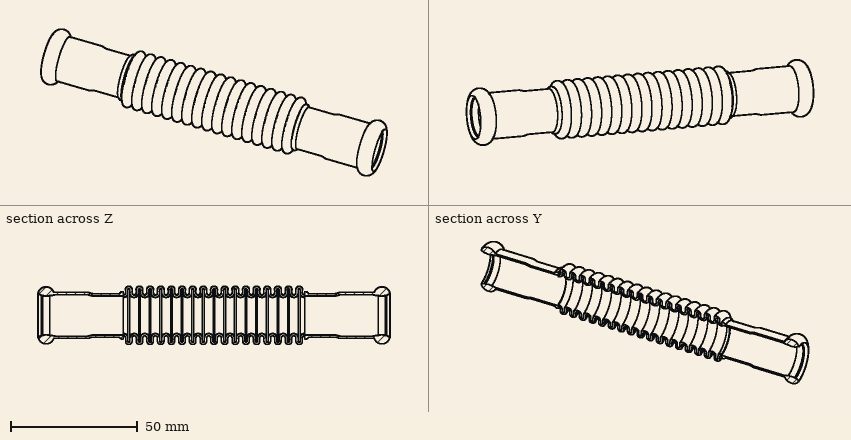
import cadquery as cq
import math

length = 139.0

bead_diameter = 22.7
bead_width = 6.5
mouth_diameter = 17.2

lip_diameter = 15.7
ring_diameter = 15.2
front_lip_start = 1.4
ring_start = 2.0
ring_end = 4.7
back_lip_end = 5.5
seal_end = 6.8

socket_diameter = 18.3
socket_bore = 16.3
neck_diameter = 17.2
neck_bore = 15.3
socket_end = 19.7
step_end = 21.7
neck_end = 32.1

collar_diameter = 18.9
collar_edge_diameter = 18.3
collar_cone_end = 32.7

crest_count = 17
bellows_length = 71.5
crest_diameter = 23.1
crest_radius = 1.4
root_diameter = 16.3
bellows_wall = 1.04

bead_radius = bead_width / 2
crest_pitch = bellows_length / crest_count
bellows_start = (length - bellows_length) / 2


def revolve_about_x(profile):
    return profile.close().revolve(360, (0, 0), (1, 0))


def end_fitting():
    """End fitting from the left mouth to the start of the bellows."""
    bead_center_r = bead_diameter / 2 - bead_radius
    bead_center_x = math.sqrt(bead_radius**2 - (mouth_diameter / 2 - bead_center_r) ** 2)
    bead_end = bead_center_x + math.sqrt(
        bead_radius**2 - (socket_diameter / 2 - bead_center_r) ** 2
    )
    ring_middle = (ring_start + ring_end) / 2
    collar_middle = (collar_cone_end + bellows_start) / 2

    outside = (
        cq.Workplane("XY")
        .moveTo(0, mouth_diameter / 2)
        .threePointArc((bead_center_x, bead_diameter / 2), (bead_end, socket_diameter / 2))
        .lineTo(socket_end, socket_diameter / 2)
        .lineTo(step_end, neck_diameter / 2)
        .lineTo(neck_end, neck_diameter / 2)
        .lineTo(collar_cone_end, collar_edge_diameter / 2)
        .threePointArc(
            (collar_middle, collar_diameter / 2), (bellows_start, collar_edge_diameter / 2)
        )
    )
    profile = (
        outside
        .lineTo(bellows_start, neck_bore / 2)
        .lineTo(step_end, neck_bore / 2)
        .lineTo(socket_end, socket_bore / 2)
        .lineTo(seal_end, socket_bore / 2)
        .lineTo(back_lip_end, lip_diameter / 2)
        .lineTo(ring_end, lip_diameter / 2)
        .threePointArc((ring_middle, ring_diameter / 2), (ring_start, lip_diameter / 2))
        .lineTo(front_lip_start, lip_diameter / 2)
    )
    return revolve_about_x(profile).translate((-length / 2, 0, 0))


def bellows_core(inset):
    """Solid with the corrugated outline of the bellows, moved inward by inset."""
    crest_r = crest_radius - inset
    root_r = crest_pitch / 2 - crest_r
    crest_top = crest_diameter / 2 - inset
    crest_center = crest_top - crest_r
    root_bottom = root_diameter / 2 - inset
    root_center = root_bottom + root_r

    root_arc_x = root_r * math.sqrt(0.5)
    root_arc_y = root_center - root_arc_x

    profile = (
        cq.Workplane("XY")
        .moveTo(-bellows_length / 2, 0)
        .lineTo(-bellows_length / 2, root_bottom)
    )
    for crest in range(crest_count):
        left_root = crest * crest_pitch - bellows_length / 2
        crest_x = left_root + crest_pitch / 2
        right_root = left_root + crest_pitch
        profile = (
            profile
            .threePointArc((left_root + root_arc_x, root_arc_y), (crest_x - crest_r, root_center))
            .lineTo(crest_x - crest_r, crest_center)
            .threePointArc((crest_x, crest_top), (crest_x + crest_r, crest_center))
            .lineTo(crest_x + crest_r, root_center)
            .threePointArc((right_root - root_arc_x, root_arc_y), (right_root, root_bottom))
        )
    return revolve_about_x(profile.lineTo(bellows_length / 2, 0))


bellows = bellows_core(0).cut(bellows_core(bellows_wall))
left_fitting = end_fitting()
right_fitting = left_fitting.mirror("YZ")
result = bellows.union(left_fitting).union(right_fitting)